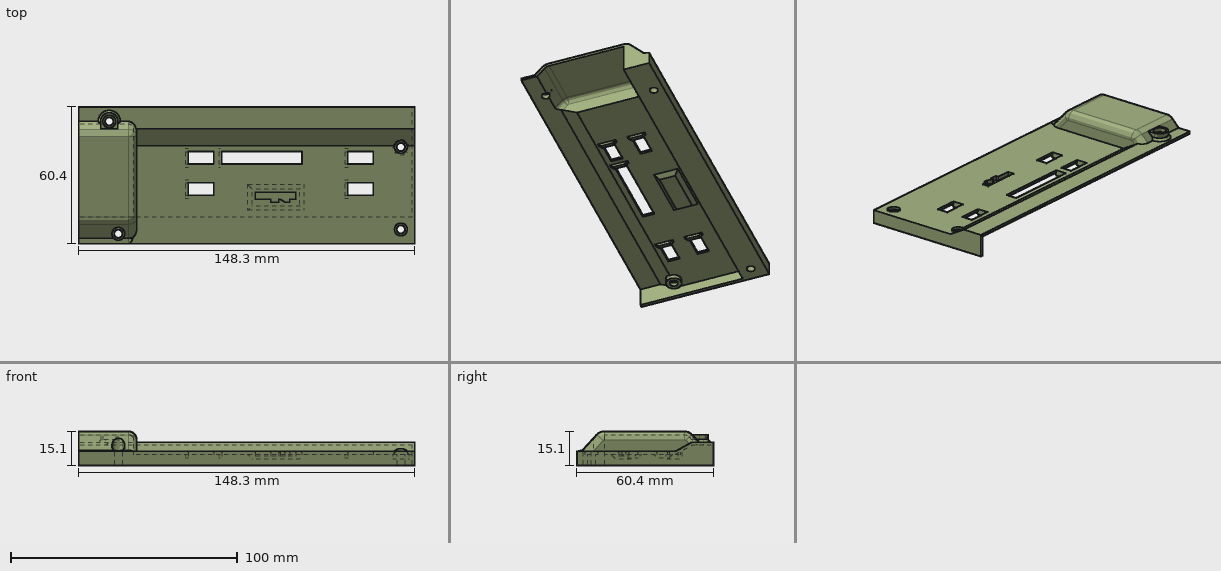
import cadquery as cq

LENGTH = 148.3
WIDTH = 60.4
HEIGHT = 15.1
WALL = 1.5
SHEET = 1.2
PLATE_TOP = 6.2
SHELF_TOP = 10.4
RAMP_START_Y = 43.3
RAMP_END_Y = 50.9
RAIL_WIDTH = 12.0

PLATE_UNDER = PLATE_TOP - SHEET
SHELF_UNDER = SHELF_TOP - SHEET

COVER_LENGTH = 25.7
COVER_BACK_Y = 54.0
COVER_SLOPE_RUN = 4.7
COVER_FRONT_TOP_Y = 10.1
COVER_TOE_Y = 2.5
COVER_TOE_Z = 6.8
COVER_ROUND = 3.7
COVER_CREASE_ROUND = 4.5
CAVITY_BACK_SHIFT = 1.0

HOLE_DIA = 3.5
HEAD_DIA = 5.6
BOSS_DIA = 7.0
UNDER_BOSS_BOTTOM = 3.1
RIGHT_HOLE_X = 142.0
RIGHT_HOLE_YS = (6.4, 42.7)
PLATE_HEAD_DEPTH = 1.2
PLATE_HEAD_SEAT = PLATE_TOP - PLATE_HEAD_DEPTH
COVER_HOLE_X, COVER_HOLE_Y = 17.5, 4.5
COVER_HEAD_SEAT = PLATE_TOP
BACK_HOLE_X, BACK_HOLE_Y = 13.5, 54.0
BACK_BOSS_DIA = 7.7
BACK_BOSS_TOP = 13.6
BACK_BOSS_FLARE_DIA = 9.8
BACK_BOSS_FLARE_TOP = 11.5
BACK_HEAD_SEAT = 11.7

WINDOW_DEPTH_Y = 5.3
WINDOW_SMALL = 11.1
WINDOW_LONG = 35.3
UPPER_ROW_Y = 38.0
LOWER_ROW_Y = 24.2
LEFT_WINDOW_X = 54.0
LONG_WINDOW_X = 80.8
RIGHT_WINDOW_X = 124.3
TAB_MARGIN = 1.5
TAB_BOTTOM = 3.5

RECESS_LEFT, RECESS_RIGHT = 77.9, 95.8
RECESS_BOTTOM, RECESS_STEP, RECESS_TOP = 18.4, 19.7, 22.8
NOTCH_LEFT, NOTCH_RIGHT = 84.7, 93.1
TOOTH_LEFT, TOOTH_TIP, TOOTH_RIGHT = 88.2, 88.8, 90.9
RECESS_FLOOR = 4.3
RECESS_PAD_BOTTOM = 3.1
RECESS_PAD_MARGIN = 3.4
PAD_TAPER = 45


def extrude_along_x(points, start, end):
    """Extrude a closed (y, z) outline from x = start to x = end."""
    return cq.Workplane("YZ", origin=(start, 0, 0)).polyline(points).close().extrude(end - start)


def cylinder(x, y, diameter, bottom, top):
    return cq.Workplane("XY", origin=(x, y, bottom)).circle(diameter / 2).extrude(top - bottom)


def make_plate():
    outline = [
        (0, 0),
        (WIDTH, 0),
        (WIDTH, SHELF_TOP),
        (RAMP_END_Y, SHELF_TOP),
        (RAMP_START_Y, PLATE_TOP),
        (0, PLATE_TOP),
    ]
    return extrude_along_x(outline, 0, LENGTH)


def make_plate_hollow():
    """Space under the plate, open at the back and at -X."""
    outline = [
        (RAIL_WIDTH, 0),
        (WIDTH, 0),
        (WIDTH, SHELF_UNDER),
        (RAMP_END_Y, SHELF_UNDER),
        (RAMP_START_Y, PLATE_UNDER),
        (RAIL_WIDTH, PLATE_UNDER),
    ]
    return extrude_along_x(outline, 0, LENGTH - WALL)


def make_cover():
    outline = [
        (0, 0),
        (COVER_BACK_Y, 0),
        (COVER_BACK_Y, SHELF_TOP),
        (COVER_BACK_Y - COVER_SLOPE_RUN, HEIGHT),
        (COVER_FRONT_TOP_Y, HEIGHT),
        (COVER_TOE_Y, COVER_TOE_Z),
        (0, PLATE_TOP),
    ]
    cover = extrude_along_x(outline, 0, COVER_LENGTH)
    cover = cover.edges("|X and >Z").fillet(COVER_CREASE_ROUND)
    return cover.faces(">X").edges("not(<Z or <Y)").fillet(COVER_ROUND)


def make_cover_cavity():
    back = COVER_BACK_Y - CAVITY_BACK_SHIFT
    roof = HEIGHT - WALL
    outline = [
        (RAIL_WIDTH, 0),
        (back, 0),
        (back, SHELF_UNDER),
        (back - (roof - SHELF_UNDER), roof),
        (RAIL_WIDTH, roof),
    ]
    cavity = extrude_along_x(outline, 0, COVER_LENGTH - WALL)
    cavity = cavity.edges("|X").edges(">Z").edges(">Y").fillet(COVER_CREASE_ROUND - WALL)
    return cavity.faces(">X").edges("not(<Z or <Y)").fillet(COVER_ROUND - WALL)


def make_back_boss():
    """Flared boss whose front side runs straight into the slope of the cover."""
    radius = BACK_BOSS_DIA / 2
    inside_y = COVER_BACK_Y - COVER_SLOPE_RUN
    bottom = SHELF_UNDER
    boss = cylinder(BACK_HOLE_X, BACK_HOLE_Y, BACK_BOSS_DIA, bottom, BACK_BOSS_TOP)
    bridge = (
        cq.Workplane("XY", origin=(BACK_HOLE_X, 0, bottom))
        .moveTo(-radius, inside_y)
        .lineTo(radius, inside_y)
        .lineTo(radius, BACK_HOLE_Y)
        .lineTo(-radius, BACK_HOLE_Y)
        .close()
        .extrude(BACK_BOSS_TOP - bottom)
    )
    flare = (
        cq.Workplane("XY", origin=(BACK_HOLE_X, BACK_HOLE_Y, SHELF_TOP))
        .circle(BACK_BOSS_FLARE_DIA / 2)
        .workplane(offset=BACK_BOSS_FLARE_TOP - SHELF_TOP)
        .circle(radius)
        .loft()
    )
    return boss.union(bridge).union(flare)


def make_window(x, y, size_x):
    return cq.Workplane("XY").center(x, y).rect(size_x, WINDOW_DEPTH_Y).extrude(HEIGHT)


def make_recess():
    outline = [
        (RECESS_LEFT, RECESS_TOP),
        (RECESS_LEFT, RECESS_STEP),
        (NOTCH_LEFT, RECESS_STEP),
        (NOTCH_LEFT, RECESS_BOTTOM),
        (TOOTH_LEFT, RECESS_BOTTOM),
        (TOOTH_LEFT, RECESS_STEP),
        (TOOTH_TIP, RECESS_STEP),
        (TOOTH_RIGHT, RECESS_BOTTOM),
        (NOTCH_RIGHT, RECESS_BOTTOM),
        (NOTCH_RIGHT, RECESS_STEP),
        (RECESS_RIGHT, RECESS_STEP),
        (RECESS_RIGHT, RECESS_TOP),
    ]
    return (
        cq.Workplane("XY", origin=(0, 0, RECESS_FLOOR))
        .polyline(outline)
        .close()
        .extrude(HEIGHT - RECESS_FLOOR)
    )


def make_tab(x, y, size_x):
    """Tab along the -X edge of a window, its ends sloped at 45 degrees."""
    half_top = WINDOW_DEPTH_Y / 2 + TAB_MARGIN
    half_bottom = half_top - (PLATE_UNDER - TAB_BOTTOM)
    outline = [
        (y - half_top, PLATE_UNDER),
        (y - half_bottom, TAB_BOTTOM),
        (y + half_bottom, TAB_BOTTOM),
        (y + half_top, PLATE_UNDER),
    ]
    edge_x = x - size_x / 2
    return extrude_along_x(outline, edge_x - WALL, edge_x)


def make_recess_pad():
    """Pad under the recess whose sides narrow downward."""
    center_x = (RECESS_LEFT + RECESS_RIGHT) / 2
    center_y = (RECESS_BOTTOM + RECESS_TOP) / 2
    size_x = RECESS_RIGHT - RECESS_LEFT + 2 * RECESS_PAD_MARGIN
    size_y = RECESS_TOP - RECESS_BOTTOM + 2 * RECESS_PAD_MARGIN
    return (
        cq.Workplane("XY", origin=(center_x, center_y, PLATE_UNDER))
        .rect(size_x, size_y)
        .extrude(RECESS_PAD_BOTTOM - PLATE_UNDER, taper=PAD_TAPER)
    )


def screw_hole(x, y, head_seat):
    hole = cylinder(x, y, HOLE_DIA, 0, HEIGHT)
    return hole.union(cylinder(x, y, HEAD_DIA, head_seat, HEIGHT))


WINDOWS = [
    (LEFT_WINDOW_X, UPPER_ROW_Y, WINDOW_SMALL),
    (LONG_WINDOW_X, UPPER_ROW_Y, WINDOW_LONG),
    (RIGHT_WINDOW_X, UPPER_ROW_Y, WINDOW_SMALL),
    (LEFT_WINDOW_X, LOWER_ROW_Y, WINDOW_SMALL),
    (RIGHT_WINDOW_X, LOWER_ROW_Y, WINDOW_SMALL),
]

SCREWS = [(RIGHT_HOLE_X, y, PLATE_HEAD_SEAT) for y in RIGHT_HOLE_YS]
SCREWS.append((COVER_HOLE_X, COVER_HOLE_Y, COVER_HEAD_SEAT))
SCREWS.append((BACK_HOLE_X, BACK_HOLE_Y, BACK_HEAD_SEAT))

result = make_plate().union(make_cover()).union(make_back_boss())
result = result.cut(make_plate_hollow()).cut(make_cover_cavity())

for hole_y in RIGHT_HOLE_YS:
    result = result.union(cylinder(RIGHT_HOLE_X, hole_y, BOSS_DIA, UNDER_BOSS_BOTTOM, PLATE_TOP))
for x, y, size_x in WINDOWS:
    result = result.union(make_tab(x, y, size_x))
result = result.union(make_recess_pad())

for x, y, size_x in WINDOWS:
    result = result.cut(make_window(x, y, size_x))
result = result.cut(make_recess())
for x, y, head_seat in SCREWS:
    result = result.cut(screw_hole(x, y, head_seat))